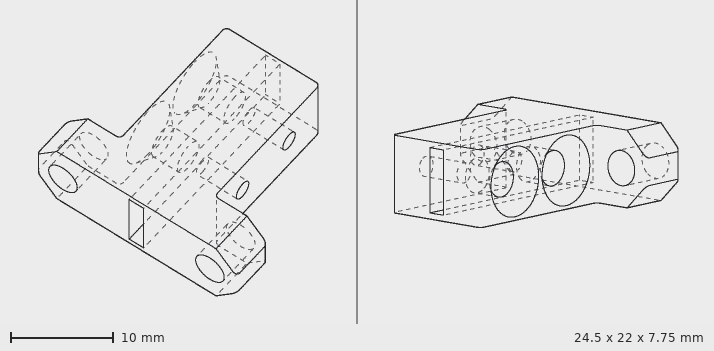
import cadquery as cq

flange_width = 24.5
overall_depth = 22.0
thickness = 7.75
flange_depth = 5.0
stem_width = 11.56
corner_radius = 0.5
flange_chamfer = 2.5

mount_spacing = 18.0
mount_diameter = 3.5

slot_width = 1.76
slot_height = 6.5

screw_spacing = 7.5
screw_end_distance = 5.0
clearance_diameter = 3.5
sink_diameter = 7.0
pilot_diameter = 2.0

half_stem = stem_width / 2
last_screw_y = overall_depth - screw_end_distance
screw_positions = [last_screw_y - screw_spacing, last_screw_y]


def make_body():
    """T-shaped plate with every vertical edge rounded."""
    flange = cq.Workplane("XY").box(
        flange_width, flange_depth, thickness, centered=(True, False, True)
    )
    stem = cq.Workplane("XY").box(
        stem_width, overall_depth, thickness, centered=(True, False, True)
    )
    return flange.union(stem).clean().edges("|Z").fillet(corner_radius)


def make_flange_envelope():
    """Octagonal prism that bevels the long corners of the flange ends."""
    return (
        cq.Workplane("XY")
        .box(flange_width, overall_depth, thickness, centered=(True, False, True))
        .edges("|Y")
        .chamfer(flange_chamfer)
    )


def make_mount_holes():
    half_spacing = mount_spacing / 2
    return (
        cq.Workplane("XZ")
        .pushPoints([(-half_spacing, 0), (half_spacing, 0)])
        .circle(mount_diameter / 2)
        .extrude(-flange_depth)
    )


def make_slot():
    return cq.Workplane("XY").box(
        slot_width, overall_depth, slot_height, centered=(True, False, True)
    )


def make_screw_hole(y):
    """Countersunk clearance bore up to the slot, then a pilot hole beyond it."""
    sink_radius = sink_diameter / 2
    clearance_radius = clearance_diameter / 2
    pilot_radius = pilot_diameter / 2
    sink_end = -half_stem + sink_radius - clearance_radius
    profile = [
        (-half_stem, 0),
        (-half_stem, sink_radius),
        (sink_end, clearance_radius),
        (0, clearance_radius),
        (0, pilot_radius),
        (half_stem, pilot_radius),
        (half_stem, 0),
    ]
    return (
        cq.Workplane("XZ", origin=(0, y, 0))
        .polyline(profile)
        .close()
        .revolve(360, (0, 0, 0), (1, 0, 0))
    )


result = make_body().intersect(make_flange_envelope())
result = result.cut(make_mount_holes()).cut(make_slot())
for screw_y in screw_positions:
    result = result.cut(make_screw_hole(screw_y))